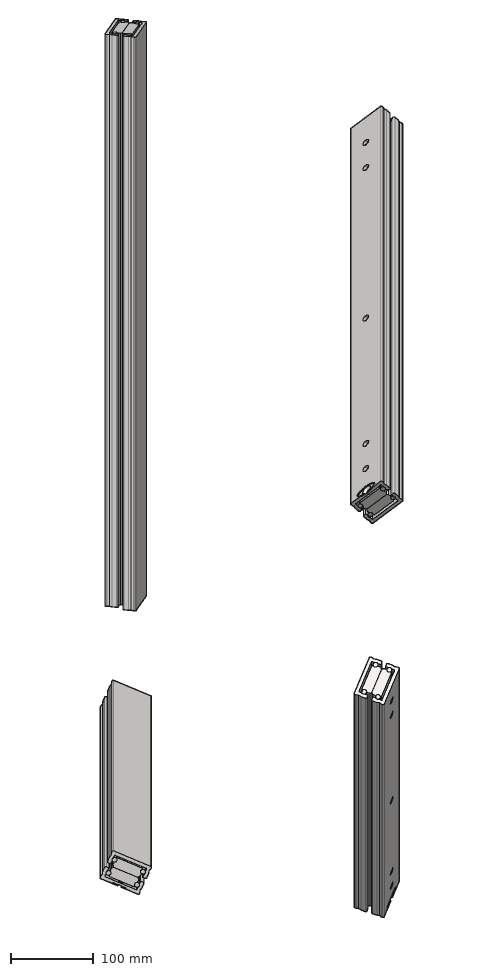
import cadquery as cq

length = 750.0
width = 39.0
depth = 52.0
end_offset = 2.0

half_width = width / 2
half_depth = depth / 2
web_thickness = 4.5
opening_half_width = 3.0
flange_inner_y = 21.0
corner_radius = 1.5
valley_x = 13.5
valley_half_width = 3.0
valley_depth = 0.9

inner_rail_clearance = 2.0
inner_rail_thickness = half_width - web_thickness - inner_rail_clearance
inner_rail_half_depth = 18.0
inner_rail_chamfer = 1.9

ball_row_radius = 3.0
ball_row_x = 9.0
ball_row_y = 19.0

hole_diameter = 9.0
hole_pitch = length / 15
hole_steps_from_top = (1, 2, 8, 13, 14)

recess_z = 8.0
recess_half_length = 14.0
recess_half_height = 6.0
recess_depth = 1.5
countersink_radius = 6.4
countersink_hole_radius = 1.9


def ball_row(side, edge, bottom):
    """Round strip in the ball track at one side (X sign) and one edge (Y sign)."""
    return (
        cq.Workplane("XY", origin=(side * ball_row_x, edge * ball_row_y, bottom))
        .circle(ball_row_radius)
        .extrude(length - bottom)
    )


def cut_ball_tracks(rail, side):
    """Cut the two round ball tracks of one side."""
    for edge in (-1, 1):
        rail = rail.cut(ball_row(side, edge, 0))
    return rail


def outer_rail(side, bottom):
    """C-shaped rail that opens toward the centre plane, with a shallow valley along each flange."""
    web_inner_x = half_width - web_thickness
    half_outline = [
        (web_inner_x, 0),
        (web_inner_x, flange_inner_y),
        (opening_half_width, flange_inner_y),
        (opening_half_width, half_depth),
        (valley_x - valley_half_width, half_depth),
        (valley_x, half_depth - valley_depth),
        (valley_x + valley_half_width, half_depth),
        (half_width, half_depth),
        (half_width, 0),
    ]
    half_rail = (
        cq.Workplane("XY", origin=(0, 0, bottom))
        .polyline([(side * x, y) for x, y in half_outline])
        .close()
        .extrude(length - bottom)
    )
    for corner_x in (opening_half_width, half_width):
        corner = cq.selectors.NearestToPointSelector((side * corner_x, half_depth, (bottom + length) / 2))
        half_rail = half_rail.edges("|Z").edges(corner).fillet(corner_radius)
    rail = half_rail.union(half_rail.mirror("XZ"))
    return cut_ball_tracks(rail, side)


def cut_mounting_holes(rail):
    """Drill the row of plain round holes through the web of the left rail."""
    for step in hole_steps_from_top:
        drill = (
            cq.Workplane("YZ", origin=(-half_width, 0, length - step * hole_pitch))
            .circle(hole_diameter / 2)
            .extrude(web_thickness)
        )
        rail = rail.cut(drill)
    return rail


def cut_foot_recess(rail):
    """Cut the oval recess and the countersunk hole in the foot of the left rail."""
    recess = (
        cq.Workplane("YZ", origin=(-half_width, 0, recess_z))
        .ellipse(recess_half_length, recess_half_height)
        .extrude(recess_depth)
    )
    countersink_mouth = (
        cq.Workplane("YZ", origin=(-half_width, 0, recess_z))
        .circle(countersink_radius)
        .extrude(recess_depth)
    )
    countersink = cq.Workplane("XY").add(
        cq.Solid.makeCone(
            countersink_radius,
            countersink_hole_radius,
            web_thickness - recess_depth,
            cq.Vector(recess_depth - half_width, 0, recess_z),
            cq.Vector(1, 0, 0),
        )
    )
    return rail.cut(recess).cut(countersink_mouth).cut(countersink)


def inner_rail(side):
    """Solid bar against the centre plane, with a ball track along each narrow edge."""
    bar = cq.Workplane("XY", origin=(side * inner_rail_thickness / 2, 0, end_offset)).box(
        inner_rail_thickness,
        2 * inner_rail_half_depth,
        length - end_offset,
        centered=(True, True, False),
    )
    return cut_ball_tracks(bar.edges("|Z").chamfer(inner_rail_chamfer), side)


left_rail = cut_foot_recess(cut_mounting_holes(outer_rail(-1, end_offset)))
right_rail = outer_rail(1, 0)
inner_rails = [inner_rail(side) for side in (-1, 1)]
ball_rows = [ball_row(side, edge, end_offset) for side in (-1, 1) for edge in (-1, 1)]

bodies = [left_rail, right_rail, *inner_rails, *ball_rows]
result = cq.Compound.makeCompound([body.val() for body in bodies])